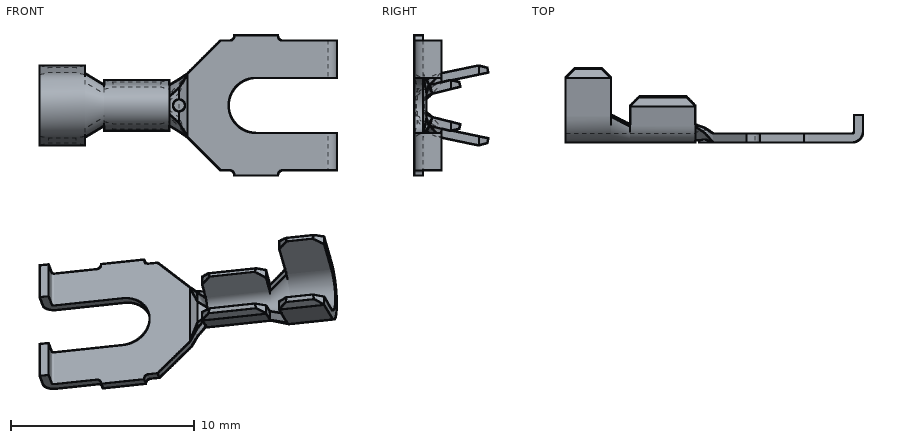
import cadquery as cq
import math

thickness = 0.5
length = 16.26

insulation_start, insulation_end = 0.0, 2.5
insulation_radius, insulation_lean, insulation_height = 1.79, 11.8, 4.06
wire_start, wire_end = 3.55, 7.1
wire_radius, wire_lean, wire_height = 1.15, 14.0, 2.54
ear_bevel_length = 0.45
ear_tip_thickness = 0.28
ear_corner_cut = 0.52

crease_x = 7.63
crease_lift = 0.18
crease_floor_half = 0.96
crease_inner_floor_half = 0.65
crease_wing_outer = (0.52, 1.43)
crease_wing_inner = (0.81, 1.17)
neck_floor_angle = 25.0
neck_edge_width = 0.07
pad_radius = 0.33

fork_start = 8.08
neck_half = 1.74
fork_half = 3.55
lug_half = 3.84
lug_start, lug_end = 10.63, 13.04
lug_fillet = 0.25
slot_half = 1.5
slot_end = 10.34
hook_height = 1.51
hook_inner_radius = 0.11


def polar(radius, centre_y, angle):
    """Point (Y, Z) on a circle centred at (centre_y, 0); 0 degrees is straight down to Y = 0."""
    a = math.radians(angle)
    return centre_y - radius * math.cos(a), radius * math.sin(a)


def mirrored(point):
    """The (Y, Z) or (X, Z) point reflected across Z = 0."""
    return point[0], -point[1]


def arc_band(x, radius, lean):
    """Floor of a barrel, without its ears, as a closed wire at the given X."""
    inner = radius - thickness
    end = 90 - lean
    outer_tip = polar(radius, radius, end)
    inner_tip = polar(inner, radius, end)
    return (
        cq.Workplane("YZ", origin=(x, 0, 0))
        .moveTo(*mirrored(outer_tip))
        .threePointArc((0, 0), outer_tip)
        .lineTo(*inner_tip)
        .threePointArc((thickness, 0), mirrored(inner_tip))
        .close()
    )


def barrel(start, end, radius, lean, height):
    """U-shaped crimp barrel whose ears end in an outside bevel and clipped corners."""
    a = math.radians(lean)
    along = (math.cos(a), math.sin(a))
    inward = (math.sin(a), -math.cos(a))
    outer_tangent = polar(radius, radius, 90 - lean)
    inner_tangent = polar(radius - thickness, radius, 90 - lean)
    ear_length = (height - inner_tangent[0]) / along[0]

    def on_ear(distance, depth):
        return tuple(outer_tangent[i] + distance * along[i] + depth * inward[i] for i in range(2))

    bevel = on_ear(ear_length - ear_bevel_length, 0)
    tip_outer = on_ear(ear_length, thickness - ear_tip_thickness)
    tip_inner = on_ear(ear_length, thickness)
    body = (
        cq.Workplane("YZ", origin=(start, 0, 0))
        .moveTo(*mirrored(outer_tangent))
        .threePointArc((0, 0), outer_tangent)
        .lineTo(*bevel)
        .lineTo(*tip_outer)
        .lineTo(*tip_inner)
        .lineTo(*inner_tangent)
        .threePointArc((thickness, 0), mirrored(inner_tangent))
        .lineTo(*mirrored(tip_inner))
        .lineTo(*mirrored(tip_outer))
        .lineTo(*mirrored(bevel))
        .close()
        .extrude(end - start)
    )
    side_outline = (
        cq.Workplane("XY")
        .moveTo(start, 0)
        .lineTo(end, 0)
        .lineTo(end, height - ear_corner_cut)
        .lineTo(end - ear_corner_cut, height)
        .lineTo(start + ear_corner_cut, height)
        .lineTo(start, height - ear_corner_cut)
        .close()
        .extrude(lug_half, both=True)
    )
    return body.intersect(side_outline)


def ruled(first, second):
    """Straight-line loft between two closed sections."""
    wires = [section.wire().val() for section in (first, second)]
    return cq.Workplane(cq.Solid.makeLoft(wires, True))


def neck_section(x, floor, wing_outer, wing_inner, inner_floor):
    """Straight-sided trough section given by its four (Y, Z) corners on the +Z side."""
    half = [floor, wing_outer, wing_inner, inner_floor]
    other_half = [mirrored(point) for point in reversed(half)]
    return cq.Workplane("YZ", origin=(x, 0, 0)).polyline(half + other_half).close()


def neck():
    """Sheet that flattens from the wire barrel to the fork over a raised crease."""
    inner_radius = wire_radius - thickness
    wing_angle = 90 - wire_lean
    at_barrel = neck_section(
        wire_end,
        polar(wire_radius, wire_radius, neck_floor_angle),
        polar(wire_radius, wire_radius, wing_angle),
        polar(inner_radius, wire_radius, wing_angle),
        polar(inner_radius, wire_radius, neck_floor_angle),
    )
    at_crease = neck_section(
        crease_x,
        (crease_lift, crease_floor_half),
        crease_wing_outer,
        crease_wing_inner,
        (crease_lift + thickness, crease_inner_floor_half),
    )
    at_fork = neck_section(
        fork_start,
        (0, neck_half - neck_edge_width),
        (0, neck_half),
        (thickness, neck_half),
        (thickness, neck_half - neck_edge_width),
    )
    pad = (
        cq.Workplane("XZ", origin=(crease_x, 0, 0))
        .circle(pad_radius)
        .extrude(-(crease_lift + thickness / 2))
    )
    return ruled(at_barrel, at_crease).union(ruled(at_crease, at_fork)).union(pad)


def fork():
    """Slotted flat fork with side lugs and tips bent up into hooks."""
    shoulder_x = fork_start + fork_half - neck_half
    upper = [
        (fork_start, neck_half),
        (shoulder_x, fork_half),
        (lug_start, fork_half),
        (lug_start, lug_half),
        (lug_end, lug_half),
        (lug_end, fork_half),
        (length, fork_half),
    ]
    lower = [mirrored(point) for point in reversed(upper)]
    outline = cq.Workplane("XZ").polyline(upper + lower).close().extrude(-hook_height)
    for x in (lug_start, lug_end):
        for z in (-fork_half, fork_half):
            root = cq.selectors.NearestToPointSelector((x, hook_height / 2, z))
            outline = outline.edges("|Y").edges(root).fillet(lug_fillet)

    hook_inside = length - thickness
    sheet = (
        cq.Workplane("XY")
        .moveTo(fork_start, 0)
        .lineTo(length, 0)
        .lineTo(length, hook_height)
        .lineTo(hook_inside, hook_height)
        .lineTo(hook_inside, thickness)
        .lineTo(fork_start, thickness)
        .close()
        .extrude(lug_half, both=True)
    )
    inner_bend = cq.selectors.NearestToPointSelector((hook_inside, thickness, 0))
    outer_bend = cq.selectors.NearestToPointSelector((length, 0, 0))
    sheet = sheet.edges("|Z").edges(inner_bend).fillet(hook_inner_radius)
    sheet = sheet.edges("|Z").edges(outer_bend).fillet(hook_inner_radius + thickness)

    slot_centre = slot_end + slot_half
    slot = (
        cq.Workplane("XZ")
        .moveTo(length, slot_half)
        .lineTo(slot_centre, slot_half)
        .threePointArc((slot_end, 0), (slot_centre, -slot_half))
        .lineTo(length, -slot_half)
        .close()
        .extrude(-hook_height)
    )
    return outline.intersect(sheet).cut(slot)


insulation_barrel = barrel(
    insulation_start, insulation_end, insulation_radius, insulation_lean, insulation_height
)
wire_barrel = barrel(wire_start, wire_end, wire_radius, wire_lean, wire_height)
barrel_taper = ruled(
    arc_band(insulation_end, insulation_radius, insulation_lean),
    arc_band(wire_start, wire_radius, wire_lean),
)

result = insulation_barrel.union(barrel_taper).union(wire_barrel).union(neck()).union(fork())